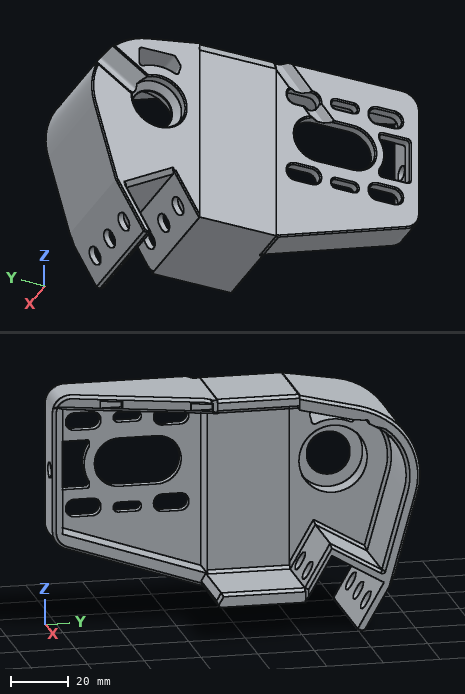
import cadquery as cq
import math


width = 40.0
length = 124.1
block_start = 54.4
block_end = 83.4
block_top = 71.9
block_top_depth = 30.8
base_depth = 13.9
wall = 5.0
rim_chamfer = 1.1
face_chamfer = 0.5
screw_diameter = 5.5

mount_top = 72.2
step_start = 49.9
step_end = 52.2
corner_radius = 6.7
mount_low_corner = 18.0
slope_start = 53.4
plate = 3.7
end_wall = 3.4
motor_y = 28.4
motor_z = 43.7
screw_offset = 15.5
screw_slot_length = 12.4
screw_slot_width = 6.2
small_slot_length = 9.8
small_slot_width = 3.5
small_slot_offset = 16.1
shaft_slot_y = 32.1
shaft_slot_length = 30.5
shaft_slot_width = 17.2
window_gap = 3.7
window_near_side = 3.8
window_far_side = 15.0
window_corner = 1.0
tension_screw_x = 8.1
detent_size = 2.5
detent_length = 7.5
detent_places = (20.1, 29.8)
detent_z = 69.2

wire_bevel = [(1.7, block_top), (0.5, 69.6), (0, 68.3)]
lip_nose = [(slope_start, 0), (52.6, 0.9), (52.2, 2.2), (53.9, wall)]

idler_top = 71.5
idler_radius = 25.3
idler_y = length - idler_radius
idler_z = 43.3
bore_diameter = 15.3
bore_land = 0.5
seat_diameter = 20.1
seat_depth = 3.5
back_recess_diameter = 24.1
back_recess_start = seat_depth + (seat_diameter - bore_diameter) / 2 + bore_land
rim_slope = math.radians(18)
slope_end_y = block_end + (width - block_top_depth) / math.tan(rim_slope)
idler_window_radius = 14.3
window_corners = [(106.2, 63.5), (106.2, 55.2), (91.8, 55.2), (90.5, 59.8), (92.8, 63.5)]

notch_tilt = math.radians(60)
notch_width = 21.2
notch_depth = 18.6
notch_wall = wall * math.cos(notch_tilt)
notch_roof = 3.5
notch_roof_chamfer = 1.7
lug_thickness = 2.5
lug_length = 22.2
lug_tip_chamfer = 1.0
clamp_slot_along = 9.2
clamp_slot_length = 6.7
clamp_slot_x = (8.1, 20.0, 32.0)

mount_groove_start = (54.2, 73.2)
mount_groove_end = (34.5, 49.6)
mount_groove_width = 6.2
mount_groove_floor = 2.0
mount_groove_depth = 2.1
mount_groove_radius = 0.4
idler_groove_width = 10.2
idler_groove_floor = 2.0
idler_groove_depth = 4.8
idler_groove_radius = 1.5
idler_groove_angle = math.radians(34.5)


def yz(x=0.0):
    """Sketch plane across X: local x is Y, local y is Z."""
    return cq.Workplane("YZ", origin=(x, 0, 0))


def in_notch_frame(along, across):
    """Y and Z of a point in the tilted frame of the clamp notch."""
    c, s = math.cos(notch_tilt), math.sin(notch_tilt)
    return (block_end + along * c + across * s, along * s - across * c)


def notch_plane(x, along, across):
    """Plane square to the notch walls: local x is X, and the normal runs across the notch."""
    y, z = in_notch_frame(along, across)
    normal = (0, math.sin(notch_tilt), -math.cos(notch_tilt))
    return cq.Plane(origin=(x, y, z), xDir=(1, 0, 0), normal=normal)


def tangent_angle(point, radius, side):
    """Angle, around the idler axis, where the line from a point touches the circle of this radius."""
    dy, dz = point[0] - idler_y, point[1] - idler_z
    return math.atan2(dz, dy) + side * math.acos(radius / math.hypot(dy, dz))


def on_idler_circle(radius, angle):
    return (idler_y + radius * math.cos(angle), idler_z + radius * math.sin(angle))


def within(y_low, y_high):
    """Selects what has its centre between two places along Y."""
    return cq.selectors.BoxSelector((-1.2, y_low, -width), (width + 1.2, y_high, 2 * width))


def above(z):
    """Selects what has its centre above this height."""
    return cq.selectors.BoxSelector((-1.2, -1.2, z), (width + 1.2, length + 1.2, 2 * width))


def rim_normal(x_run, y_run):
    """Selects the upright faces that rise by x_run along X over y_run along Y."""
    return cq.selectors.ParallelDirSelector(cq.Vector(y_run, -x_run, 0))


def groove(start, end, top_width, floor_width, depth, floor_radius):
    """Channel with sloping sides cut into the mounting face from one (Y, Z) point to another."""
    run = cq.Vector(0, end[0] - start[0], end[1] - start[1])
    plane = cq.Plane(origin=(0, *start), xDir=(1, 0, 0), normal=run.toTuple())
    half_top, half_floor = top_width / 2, floor_width / 2
    profile = [
        (0, -half_top - face_chamfer),
        (face_chamfer / 2, -half_top),
        (depth, -half_floor),
        (depth, half_floor),
        (face_chamfer / 2, half_top),
        (0, half_top + face_chamfer),
    ]
    channel = cq.Workplane(plane).polyline(profile).close().extrude(run.Length)
    return channel.faces(">X").edges(cq.selectors.ParallelDirSelector(run)).fillet(floor_radius)


def flared(opening):
    """Opening through a plate with a small edge break at the mounting face."""
    rim = opening.faces("<X").val().outerWire().offset2D(face_chamfer)[0]
    return opening.union(yz().add(rim).toPending().extrude(face_chamfer, taper=45))


def slot(y, z, slot_length, slot_width):
    return flared(yz().center(y, z).slot2D(slot_length, slot_width).extrude(plate))


def mount_blank(depth):
    outline = [
        (block_start, 0),
        (slope_start, 0),
        (0, mount_low_corner),
        (0, mount_top),
        (step_start, mount_top),
        (step_end, block_top),
        (block_start, block_top),
    ]
    end_corners = cq.selectors.BoxSelector((-1.2, -1.2, 0), (depth + 1.2, 1.2, mount_top + 1.2))
    return (
        yz().polyline(outline).close().extrude(depth)
        .edges("|X").edges(end_corners).fillet(corner_radius)
    )


def mount_cavity():
    """Hollow behind the mounting plate, open towards +X and towards the block."""
    rise = mount_low_corner / slope_start
    floor_lift = wall * math.hypot(1, rise)
    near, far = end_wall, block_start
    return (
        yz(plate)
        .moveTo(near, mount_low_corner - rise * near + floor_lift)
        .lineTo(far, mount_low_corner - rise * far + floor_lift)
        .lineTo(far, block_top - wall)
        .lineTo(near, block_top - wall)
        .close().extrude(width)
    )


def mount_top_wall():
    """Top wall that widens from the end face to the depth of the block's top wall."""
    return (
        cq.Workplane("XY", origin=(0, 0, block_top - wall))
        .polyline([(0, 0), (base_depth, 0), (block_top_depth, step_end),
                   (block_top_depth, block_start), (0, block_start)])
        .close().extrude(2 * wall)
        .intersect(mount_blank(width))
        .faces(rim_normal(block_top_depth - base_depth, step_end)).edges("not |Z")
        .chamfer(rim_chamfer)
    )


def mount_window():
    """Window beside the shaft slot, its inner side an arc concentric with the slot end."""
    half = shaft_slot_width / 2
    arc_y = shaft_slot_y - shaft_slot_length / 2 + half
    window = (
        yz().center((window_near_side + window_far_side) / 2, motor_z)
        .rect(window_far_side - window_near_side, shaft_slot_width).extrude(plate)
    )
    web = yz().center(arc_y, motor_z).circle(half + window_gap).extrude(plate)
    return flared(window.cut(web).edges("|X").fillet(window_corner))


def detent(x):
    """Square notch that runs along Y into the sloping rim of the top wall."""
    rim_y = (x - base_depth) * step_end / (block_top_depth - base_depth)
    return cq.Workplane("XY", origin=(x, rim_y, detent_z)).box(detent_size, detent_length, detent_size)


def tension_hole():
    """Screw hole through the end wall."""
    return (
        cq.Workplane("XZ", origin=(tension_screw_x, 0, motor_z))
        .circle(screw_diameter / 2).extrude(-2 * end_wall)
    )


def build_motor_mount():
    body = mount_blank(base_depth)
    below_top = cq.selectors.BoxSelector((0, -1.2, -1.2), (width, length, mount_top - 3.7))
    rim = body.faces(">X").edges(within(-1.2, slope_start - 0.1))
    body = rim.edges(below_top).chamfer(rim_chamfer)
    body = body.union(mount_top_wall())
    body = body.faces("<X").edges(within(-1.2, block_start - 0.1)).chamfer(face_chamfer)
    body = body.cut(mount_cavity())
    for side in (-1, 1):
        for end in (-1, 1):
            body = body.cut(slot(motor_y + end * screw_offset, motor_z + side * screw_offset,
                                 screw_slot_length, screw_slot_width))
        body = body.cut(slot(motor_y, motor_z + side * small_slot_offset,
                             small_slot_length, small_slot_width))
    body = body.cut(slot(shaft_slot_y, motor_z, shaft_slot_length, shaft_slot_width))
    body = body.cut(mount_window())
    body = body.cut(groove(mount_groove_start, mount_groove_end, mount_groove_width,
                           mount_groove_floor, mount_groove_depth, mount_groove_radius))
    for x in detent_places:
        body = body.cut(detent(x))
    return body.cut(tension_hole())


def build_block():
    base = (
        cq.Workplane("XZ", origin=(0, block_start, 0))
        .polyline([
            (0, 0),
            (width, 0),
            (width, wall - rim_chamfer),
            (width - rim_chamfer, wall),
            (base_depth + rim_chamfer, wall),
            (base_depth, wall + rim_chamfer),
            (base_depth, block_top - wall),
            (block_top_depth - rim_chamfer, block_top - wall),
            (block_top_depth, block_top - wall + rim_chamfer),
            (block_top_depth, block_top - rim_chamfer),
            (block_top_depth - rim_chamfer, block_top),
            *wire_bevel,
        ])
        .close().extrude(block_start - block_end)
    )
    upper_edges = cq.selectors.BoxSelector((0, 52.1, 2.5), (width + 1.2, block_end, wall + 1.2))
    lip = (
        yz(base_depth)
        .polyline([*lip_nose, (block_end, wall), (block_end, 0)])
        .close().extrude(width - base_depth)
        .faces(">X").edges(upper_edges).chamfer(rim_chamfer)
    )
    return base.union(lip)


top_corner = (block_end, idler_top)
lug_kink = in_notch_frame(lug_length, notch_width + lug_thickness)
top_angle = tangent_angle(top_corner, idler_radius, -1)
low_angle = tangent_angle(lug_kink, idler_radius, 1)


def idler_outline():
    outer = notch_width + lug_thickness
    return (
        yz().moveTo(*in_notch_frame(0, 0))
        .lineTo(*in_notch_frame(notch_depth, 0))
        .lineTo(*in_notch_frame(notch_depth, notch_width))
        .lineTo(*in_notch_frame(0, notch_width))
        .lineTo(*in_notch_frame(0, outer - lug_tip_chamfer))
        .lineTo(*in_notch_frame(lug_tip_chamfer, outer))
        .lineTo(*lug_kink)
        .lineTo(*on_idler_circle(idler_radius, low_angle))
        .threePointArc((length, idler_z), on_idler_circle(idler_radius, top_angle))
        .lineTo(*top_corner).close()
    )


def cavity_outline(x):
    """Inside of the shell: follows the outline at the wall thickness and runs out into the block."""
    radius = idler_radius - wall
    run_out = block_end - wall
    roof_z = idler_z + (radius - (run_out - idler_y) * math.cos(top_angle)) / math.sin(top_angle)
    along = notch_depth + notch_roof
    start = in_notch_frame(along, 0)
    gap = radius - (start[0] - idler_y) * math.cos(low_angle) - (start[1] - idler_z) * math.sin(low_angle)
    corner = in_notch_frame(along, gap / math.sin(notch_tilt - low_angle))
    return (
        yz(x).moveTo(run_out, wall)
        .lineTo(block_end, wall)
        .lineTo(*in_notch_frame(along, -notch_wall))
        .lineTo(*corner)
        .lineTo(*on_idler_circle(radius, low_angle))
        .threePointArc((idler_y + radius, idler_z), on_idler_circle(radius, top_angle))
        .lineTo(run_out, roof_z).close()
    )


def idler_cavity():
    """Hollow that narrows in a bevel at its floor and widens in a bevel at its rim."""
    hollow = cavity_outline(base_depth).extrude(width - base_depth).faces("<X").chamfer(rim_chamfer)
    flare = cavity_outline(width - rim_chamfer).extrude(rim_chamfer, taper=-45)
    return hollow.union(flare)


def sloping_rim_cut():
    """Wedge that brings the top wall down to the depth of the block's top wall."""
    return (
        cq.Workplane("XY", origin=(0, 0, idler_z + wall))
        .polyline([(block_top_depth, block_end), (width, slope_end_y), (width, block_end)])
        .close().extrude(idler_radius)
    )


def idler_blank():
    """Outline at full depth, with bevels on both faces and along the sloping rim."""
    solid = idler_outline().extrude(width)
    sloped = solid.cut(sloping_rim_cut()).faces(rim_normal(width - block_top_depth, slope_end_y - block_end))
    sloped = sloped.edges("not |Z").edges(above(idler_z + wall + 1.2)).chamfer(rim_chamfer)
    faced = solid.faces("<X").edges(within(block_end + 0.1, length + 1.2)).chamfer(face_chamfer)
    round_rim = cq.selectors.BoxSelector((base_depth, 0, wall * 3), (width + 1.2, length + 1.2, block_top))
    faced = faced.faces(">X").edges(round_rim).chamfer(rim_chamfer)
    return sloped.intersect(faced)


def idler_bore():
    """Bearing seat from the mounting face, narrowing as a cone, with a round recess behind it."""
    r_seat, r_bore, r_back = seat_diameter / 2, bore_diameter / 2, back_recess_diameter / 2
    return (
        cq.Workplane("XZ")
        .polyline([
            (0, 0),
            (0, r_seat + face_chamfer),
            (face_chamfer, r_seat),
            (seat_depth, r_seat),
            (back_recess_start - bore_land, r_bore),
            (back_recess_start, r_bore),
            (back_recess_start, r_back),
            (base_depth, r_back),
            (base_depth, 0),
        ])
        .close().revolve(360, (0, 0, 0), (1, 0, 0))
        .translate((0, idler_y, idler_z))
    )


def idler_window():
    """Window above the bore, its lower side an arc concentric with the bore."""
    window = yz().polyline(window_corners).close().extrude(width)
    web = yz().center(idler_y, idler_z).circle(idler_window_radius).extrude(width)
    return window.cut(web).edges("|X").fillet(window_corner)


def notch_roof_bevel():
    """Bevel of the notch's blind end at the mounting face."""
    legs = [(0, 0), (notch_roof_chamfer, 0), (0, -notch_roof_chamfer)]
    return (
        cq.Workplane(notch_plane(0, notch_depth, 0))
        .polyline(legs).close().extrude(notch_width)
    )


def clamp_slot(x):
    """Elongated screw hole through the lug and on into the opposite notch wall."""
    reach = notch_width + lug_thickness + notch_wall
    return (
        cq.Workplane(notch_plane(x, clamp_slot_along, -notch_wall))
        .slot2D(clamp_slot_length, screw_diameter, 90).extrude(reach)
    )


def build_idler_end():
    body = idler_blank()
    body = body.cut(notch_roof_bevel())
    body = body.cut(idler_cavity()).cut(idler_bore()).cut(idler_window())
    groove_end = on_idler_circle(idler_radius + wall, idler_groove_angle)
    body = body.cut(groove((idler_y, idler_z), groove_end, idler_groove_width,
                           idler_groove_floor, idler_groove_depth, idler_groove_radius))
    for x in clamp_slot_x:
        body = body.cut(clamp_slot(x))
    return body


motor_mount = build_motor_mount()
block = build_block()
idler_end = build_idler_end()
result = cq.Compound.makeCompound([motor_mount.val(), block.val(), idler_end.val()])